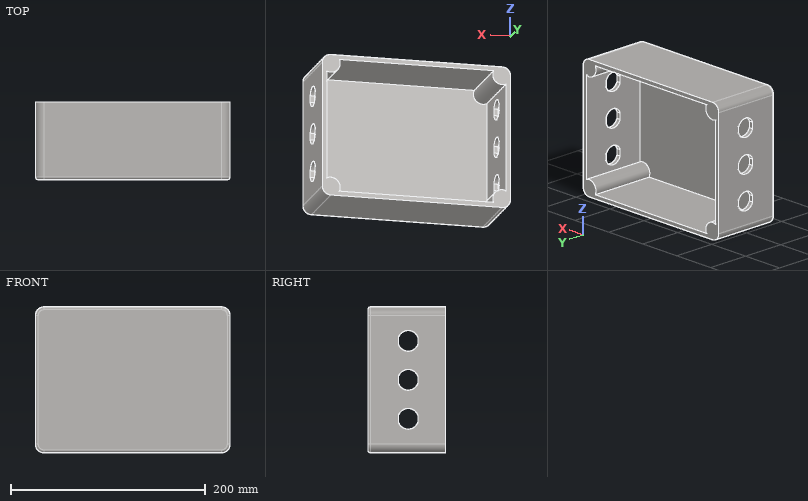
import cadquery as cq

length = 200.0
depth = 80.0
height = 150.0

side_wall = 4.8
front_wall = 3.0
corner_radius = 9.0
front_edge_radius = 3.0

post_radius = 10.0
post_inset = corner_radius

hole_diameter = 21.0
hole_flat_width = 19.8
hole_pitch = 40.0
hole_count = 3

cavity_depth = depth - front_wall
cavity_center_y = front_wall / 2


def outer_form():
    """Solid outer form with rounded Y edges and a rounded rim on the closed -Y face."""
    block = cq.Workplane("XY").box(length, depth, height).edges("|Y").fillet(corner_radius)
    return block.faces("<Y").edges().fillet(front_edge_radius)


def corner_posts():
    """Four cylinders along the full cavity depth, concentric with the outer corners."""
    return (
        cq.Workplane("XZ", origin=(0, depth / 2, 0))
        .rarray(length - 2 * post_inset, height - 2 * post_inset, 2, 2)
        .circle(post_radius)
        .extrude(cavity_depth)
    )


def cavity():
    """Inner space, open at the +Y side and closed by the front wall, with the posts left standing."""
    space = cq.Workplane("XY").box(length - 2 * side_wall, cavity_depth, height - 2 * side_wall)
    return space.translate((0, cavity_center_y, 0)).cut(corner_posts())


def end_holes():
    """Upright row of flat-sided holes through both end walls, centred on the cavity depth."""
    row_height = hole_count * hole_pitch
    cylinders = (
        cq.Workplane("YZ", origin=(-length / 2, cavity_center_y, 0))
        .rarray(2, hole_pitch, 1, hole_count)
        .circle(hole_diameter / 2)
        .extrude(length)
    )
    flats = cq.Workplane("XY").box(length, hole_flat_width, row_height)
    return cylinders.intersect(flats.translate((0, cavity_center_y, 0)))


result = outer_form().cut(cavity()).cut(end_holes())